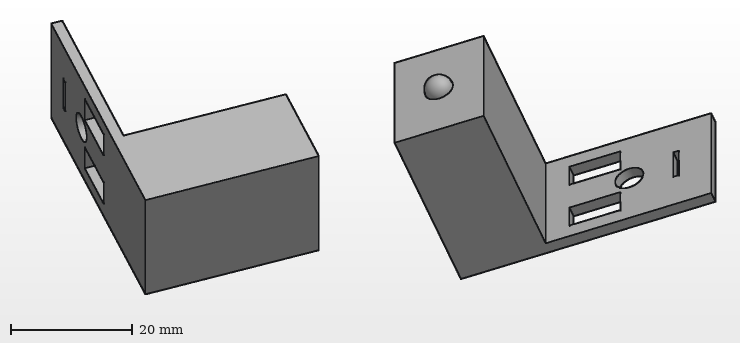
import cadquery as cq

length = 45.0
height = 21.5
plate_thickness = 2.0
block_width = 15.75
block_depth = 30.5

nub_radius = 2.48
nub_x = length - block_width / 2

slot_width = 1.0
slot_height = 6.55
slot_x = 6.2
hole_diameter = 5.0
hole_x = 14.5
window_width = 9.0
window_height = 4.8
window_x = 20.55
window_offset = 5.5


def box_from_front(x_start, width, depth):
    """Full-height box that starts on the front face."""
    return cq.Workplane("XY").box(width, depth, height, centered=(False, False, True)).translate((x_start, 0, 0))


def rectangular_cutter(x, z, width, tall):
    """Cutter through the plate thickness, centred at x, z."""
    return cq.Workplane("XY").box(width, 2 * plate_thickness, tall).translate((x, plate_thickness / 2, z))


plate = box_from_front(0, length, plate_thickness)
plate = plate.cut(rectangular_cutter(slot_x, 0, slot_width, slot_height))
for side in (-1, 1):
    plate = plate.cut(rectangular_cutter(window_x, side * window_offset, window_width, window_height))

hole = cq.Workplane("XZ").center(hole_x, 0).circle(hole_diameter / 2).extrude(-plate_thickness)
plate = plate.cut(hole)

block = box_from_front(length - block_width, block_width, block_depth)

nub = cq.Workplane("XY").sphere(nub_radius).translate((nub_x, block_depth, 0))

result = plate.union(block).union(nub)